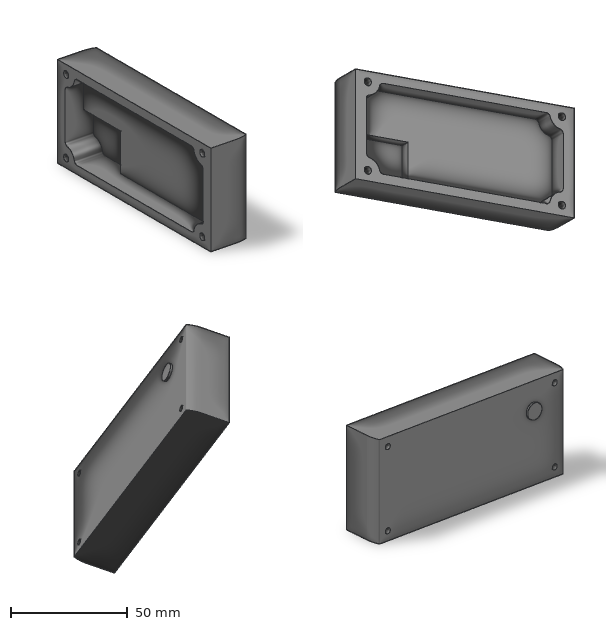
import cadquery as cq

length = 107.3
height = 49.7
overall_depth = 21.0
button_height = 1.0
depth = overall_depth - button_height

relief_width = 1.2
relief_depth = 6.4
relief_radius = (relief_depth**2 + relief_width**2) / (2 * relief_width)
rear_edge_radius = 0.3

side_wall = 5.4
top_wall = 4.3
cavity_depth = 10.0
cavity_length = length - 2 * side_wall
cavity_height = height - 2 * top_wall

bay_length = 26.0
bay_height = 20.4
bay_depth = 15.2

hole_side_offset = 6.0
hole_top_offset = 4.8
hole_diameter = 2.8
entry_diameter = 3.4
entry_depth = cavity_depth
boss_side_offset = 5.7
boss_top_offset = 4.5
boss_diameter = 12.5
boss_corner_radius = 2.0

button_diameter = 8.0
button_side_offset = 18.2
button_top_offset = 14.2
button_x = -length / 2 + button_side_offset
button_z = height / 2 - button_top_offset


def corner_points(side_offset, top_offset):
    """The four (x, z) points set in from the block corners by the given offsets."""
    x = length / 2 - side_offset
    z = height / 2 - top_offset
    return [(-x, -z), (-x, z), (x, -z), (x, z)]


def cylinder(diameter, span, x, y, z):
    """Cylinder that starts at (x, y, z) and runs toward +Y."""
    solid = cq.Solid.makeCylinder(diameter / 2, span, cq.Vector(x, y, z), cq.Vector(0, 1, 0))
    return cq.Workplane(solid)


def block():
    """Rectangular block whose ends curve inward toward the back face."""
    half = length / 2
    relief_start = depth - relief_depth
    outline = (
        cq.Workplane("XY")
        .moveTo(-half, 0)
        .lineTo(half, 0)
        .lineTo(half, relief_start)
        .radiusArc((half - relief_width, depth), -relief_radius)
        .lineTo(relief_width - half, depth)
        .radiusArc((-half, relief_start), -relief_radius)
        .close()
    )
    return outline.extrude(height / 2, both=True).edges("|Z and >Y").fillet(rear_edge_radius)


def pocket(pocket_depth):
    """Full cavity outline with a rounded notch around each screw boss."""
    void = cq.Workplane("XY").box(cavity_length, pocket_depth, cavity_height)
    void = void.translate((0, pocket_depth / 2, 0))
    for x, z in corner_points(boss_side_offset, boss_top_offset):
        void = void.cut(cylinder(boss_diameter, pocket_depth, x, 0, z))
    return void.edges("|Y").fillet(boss_corner_radius)


def cavity():
    """Main cavity joined with the deeper corner bay."""
    bay_limits = (
        cq.Workplane("XY")
        .box(bay_length, bay_depth, bay_height, centered=False)
        .translate((-cavity_length / 2, 0, -cavity_height / 2))
    )
    return pocket(cavity_depth).union(pocket(bay_depth).intersect(bay_limits))


def screw_hole(x, z):
    """Through hole with a slightly wider stretch at the front."""
    return cylinder(hole_diameter, depth, x, 0, z).union(cylinder(entry_diameter, entry_depth, x, 0, z))


result = block().cut(cavity())
for x, z in corner_points(hole_side_offset, hole_top_offset):
    result = result.cut(screw_hole(x, z))
result = result.union(cylinder(button_diameter, button_height, button_x, depth, button_z))